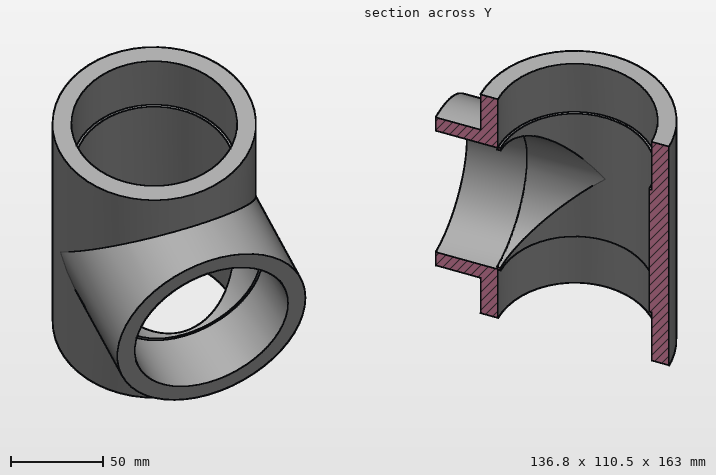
import cadquery as cq

run_length = 163.0
reach = run_length / 2
outer_diameter = 110.5
socket_diameter = 90.0
bore_diameter = 87.0
socket_depth = 35.9


def tee_of_cylinders(diameter, end_reach):
    """Vertical cylinder centred on the origin, joined by an equal one toward +X."""
    run = cq.Workplane("XY").circle(diameter / 2).extrude(end_reach, both=True)
    branch = cq.Workplane("YZ").circle(diameter / 2).extrude(end_reach)
    return run.union(branch)


def socket(plane, direction):
    """Socket reaching from its inner shoulder to an open end."""
    shoulder = reach - socket_depth
    return (
        cq.Workplane(plane)
        .workplane(offset=direction * shoulder)
        .circle(socket_diameter / 2)
        .extrude(direction * socket_depth)
    )


body = tee_of_cylinders(outer_diameter, reach)
result = body.cut(tee_of_cylinders(bore_diameter, reach))

for plane, direction in (("XY", 1), ("XY", -1), ("YZ", 1)):
    result = result.cut(socket(plane, direction))